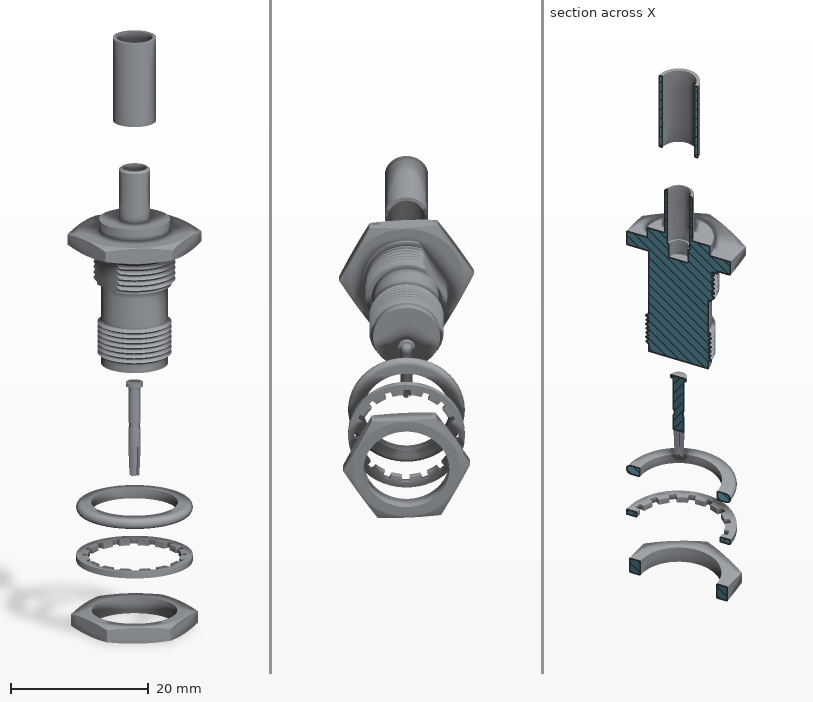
import cadquery as cq
import math


FERRULE_TOP = 90.3
FERRULE_LENGTH = 12.7
FERRULE_RADIUS = 3.2
FERRULE_BORE_RADIUS = 2.6

BARREL_TOP = 70.35
COLLAR_TOP = 62.5
FLANGE_TOP = 60.8
FLANGE_BOTTOM = 58.3
RELIEF_BOTTOM = 57.9
UPPER_THREAD_BOTTOM = 52.65
LOWER_THREAD_TOP = 47.1
HOUSING_BOTTOM = 40.5

BARREL_RADIUS = 2.3
BARREL_CHAMFER = 0.3
BARREL_BORE_RADIUS = 1.8
INNER_HOLE_RADIUS = 1.5
COLLAR_RADIUS = 5.15
FLANGE_ACROSS_FLATS = 17.0
FLANGE_CHAMFER_HEIGHT = 0.45
RELIEF_RADIUS = 6.4
BODY_RADIUS = 4.9
THREAD_DEPTH = 0.5
UPPER_ROOT_RADIUS = BODY_RADIUS + THREAD_DEPTH
UPPER_PITCH = 0.8
UPPER_CRESTS = 6
LOWER_ROOT_RADIUS = BODY_RADIUS
LOWER_PITCH = 0.77
LOWER_CRESTS = 7

PIN_TOP = 37.5
PIN_HEAD_BOTTOM = 36.9
PIN_GROOVE_TOP = 31.4
PIN_GROOVE_BOTTOM = 30.5
PIN_SOCKET_TOP = 27.8
PIN_BOTTOM = 23.3
PIN_HEAD_RADIUS = 1.3
PIN_RADIUS = 0.9
PIN_GROOVE_RADIUS = 0.77
PIN_TIP_RADIUS = 0.7
PIN_SLOT_WIDTH = 0.3

RING_MIDDLE = 18.3
RING_HEIGHT = 1.5
RING_RADIUS = 8.5
RING_BORE_RADIUS = 6.3

WASHER_TOP = 11.1
WASHER_HEIGHT = 0.9
WASHER_RADIUS = 8.5
WASHER_BORE_RADIUS = 6.8
WASHER_NOTCH_RADIUS = 7.6
WASHER_NOTCHES = 16
WASHER_NOTCH_WIDTH = 1.1

NUT_HEIGHT = 2.5
NUT_ACROSS_FLATS = 16.0
NUT_BORE_RADIUS = 6.2
NUT_CHAMFER_HEIGHT = 0.4

HEX_FACE_INSET = 0.2


def cylinder(radius, bottom, top):
    return cq.Workplane("XY").workplane(offset=bottom).circle(radius).extrude(top - bottom)


def hexagon(across_flats, bottom, top, chamfer_height):
    """Hexagonal prism with corners on the X axis, chamfered conically at both ends."""
    corner_radius = across_flats / math.sqrt(3)
    face_radius = across_flats / 2 - HEX_FACE_INSET
    prism = (
        cq.Workplane("XY").workplane(offset=bottom)
        .polygon(6, 2 * corner_radius).extrude(top - bottom)
    )
    envelope = (
        cq.Workplane("XZ")
        .moveTo(0, bottom)
        .lineTo(face_radius, bottom)
        .lineTo(corner_radius, bottom + chamfer_height)
        .lineTo(corner_radius, top - chamfer_height)
        .lineTo(face_radius, top)
        .lineTo(0, top)
        .close()
        .revolve(360, (0, 0), (0, 1))
    )
    return prism.intersect(envelope)


def thread_points(root_radius, top, pitch, crests):
    """Profile of V-shaped ridges, running down from the given height."""
    points = [(root_radius, top)]
    for i in range(crests):
        points.append((root_radius + THREAD_DEPTH, top - (i + 0.5) * pitch))
        points.append((root_radius, top - (i + 1) * pitch))
    return points


def make_ferrule():
    bottom = FERRULE_TOP - FERRULE_LENGTH
    bore = cylinder(FERRULE_BORE_RADIUS, bottom, FERRULE_TOP)
    return cylinder(FERRULE_RADIUS, bottom, FERRULE_TOP).cut(bore)


def make_threaded_shank():
    """Turned shank under the flange, with a flat on the -Y side of its upper thread."""
    profile = [(0, FLANGE_BOTTOM), (RELIEF_RADIUS, FLANGE_BOTTOM), (RELIEF_RADIUS, RELIEF_BOTTOM)]
    profile += thread_points(UPPER_ROOT_RADIUS, RELIEF_BOTTOM, UPPER_PITCH, UPPER_CRESTS)
    profile += [(UPPER_ROOT_RADIUS, UPPER_THREAD_BOTTOM), (BODY_RADIUS, UPPER_THREAD_BOTTOM)]
    profile += thread_points(LOWER_ROOT_RADIUS, LOWER_THREAD_TOP, LOWER_PITCH, LOWER_CRESTS)
    profile += [(BODY_RADIUS, HOUSING_BOTTOM), (0, HOUSING_BOTTOM)]
    shank = cq.Workplane("XZ").polyline(profile).close().revolve(360, (0, 0), (0, 1))

    flat_cutter = (
        cq.Workplane("XY").workplane(offset=UPPER_THREAD_BOTTOM)
        .center(0, -BODY_RADIUS - RELIEF_RADIUS / 2)
        .rect(2 * RELIEF_RADIUS, RELIEF_RADIUS)
        .extrude(FLANGE_BOTTOM - UPPER_THREAD_BOTTOM)
    )
    return shank.cut(flat_cutter)


def make_housing():
    """Barrel, collar, hex flange and shank in one piece, with a blind stepped bore from the top."""
    barrel = cylinder(BARREL_RADIUS, COLLAR_TOP, BARREL_TOP).faces(">Z").chamfer(BARREL_CHAMFER)
    collar = cylinder(COLLAR_RADIUS, FLANGE_TOP, COLLAR_TOP)
    flange = hexagon(FLANGE_ACROSS_FLATS, FLANGE_BOTTOM, FLANGE_TOP, FLANGE_CHAMFER_HEIGHT)
    bore = cylinder(BARREL_BORE_RADIUS, FLANGE_TOP, BARREL_TOP)
    inner_hole = cylinder(INNER_HOLE_RADIUS, FLANGE_BOTTOM, FLANGE_TOP)
    outside = make_threaded_shank().union(flange).union(collar).union(barrel)
    return outside.cut(bore).cut(inner_hole)


def make_pin():
    """Turned pin with a head at the top, a groove, and a tapering split socket at the bottom."""
    profile = [
        (0, PIN_TOP),
        (PIN_HEAD_RADIUS, PIN_TOP),
        (PIN_HEAD_RADIUS, PIN_HEAD_BOTTOM),
        (PIN_RADIUS, PIN_HEAD_BOTTOM),
        (PIN_RADIUS, PIN_GROOVE_TOP),
        (PIN_GROOVE_RADIUS, PIN_GROOVE_TOP),
        (PIN_GROOVE_RADIUS, PIN_GROOVE_BOTTOM),
        (PIN_RADIUS, PIN_GROOVE_BOTTOM),
        (PIN_RADIUS, PIN_SOCKET_TOP),
        (PIN_TIP_RADIUS, PIN_BOTTOM),
        (0, PIN_BOTTOM),
    ]
    pin = cq.Workplane("XZ").polyline(profile).close().revolve(360, (0, 0), (0, 1))

    for length_x, length_y in ((2 * PIN_RADIUS, PIN_SLOT_WIDTH), (PIN_SLOT_WIDTH, 2 * PIN_RADIUS)):
        slot = (
            cq.Workplane("XY").workplane(offset=PIN_BOTTOM)
            .rect(length_x, length_y).extrude(PIN_SOCKET_TOP - PIN_BOTTOM)
        )
        pin = pin.cut(slot)
    return pin


def make_sealing_ring():
    """Ring with flat faces, a straight bore and a fully rounded rim."""
    half_height = RING_HEIGHT / 2
    flat_radius = RING_RADIUS - half_height
    return (
        cq.Workplane("XZ")
        .moveTo(RING_BORE_RADIUS, RING_MIDDLE - half_height)
        .lineTo(flat_radius, RING_MIDDLE - half_height)
        .radiusArc((RING_RADIUS, RING_MIDDLE), -half_height)
        .radiusArc((flat_radius, RING_MIDDLE + half_height), -half_height)
        .lineTo(RING_BORE_RADIUS, RING_MIDDLE + half_height)
        .close()
        .revolve(360, (0, 0), (0, 1))
    )


def make_lock_washer():
    """Internal-tooth washer: notches leave a tooth on each of the X and Y axes."""
    bottom = WASHER_TOP - WASHER_HEIGHT
    blank = cylinder(WASHER_RADIUS, bottom, WASHER_TOP)
    bore = cylinder(WASHER_BORE_RADIUS, bottom, WASHER_TOP)
    spacing = 360 / WASHER_NOTCHES
    washer = blank.cut(bore)
    for i in range(WASHER_NOTCHES):
        notch = (
            cq.Workplane("XY").workplane(offset=bottom)
            .center(WASHER_NOTCH_RADIUS / 2, 0)
            .rect(WASHER_NOTCH_RADIUS, WASHER_NOTCH_WIDTH)
            .extrude(WASHER_HEIGHT)
            .rotate((0, 0, 0), (0, 0, 1), (i + 0.5) * spacing)
        )
        washer = washer.cut(notch)
    return washer


def make_nut():
    bore = cylinder(NUT_BORE_RADIUS, 0, NUT_HEIGHT)
    return hexagon(NUT_ACROSS_FLATS, 0, NUT_HEIGHT, NUT_CHAMFER_HEIGHT).cut(bore)


ferrule = make_ferrule()
housing = make_housing()
pin = make_pin()
sealing_ring = make_sealing_ring()
lock_washer = make_lock_washer()
nut = make_nut()

result = cq.Compound.makeCompound([
    ferrule.val(),
    housing.val(),
    pin.val(),
    sealing_ring.val(),
    lock_washer.val(),
    nut.val(),
])